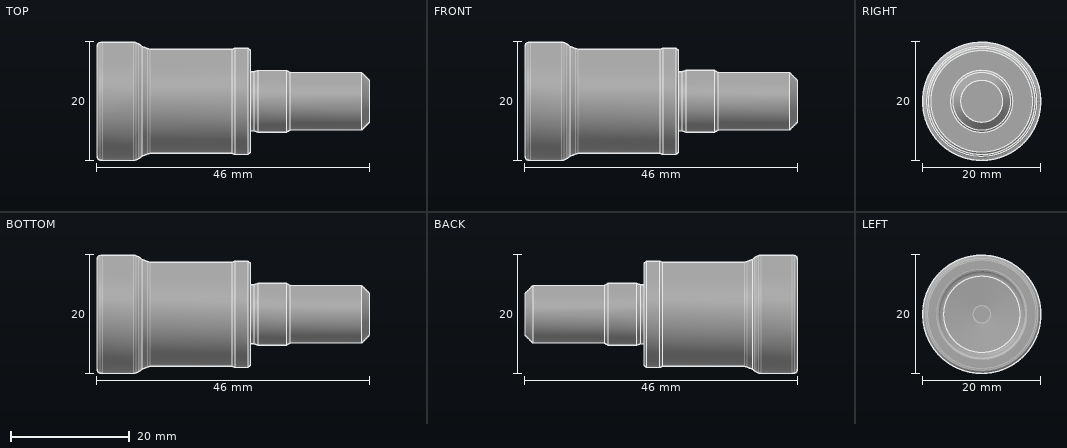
import cadquery as cq
import math

TOTAL_LENGTH = 46.0

CAP_RADIUS = 20.0 / 2
CAP_FACE_RADIUS = 9.15
CAP_SIDE_START = 0.95
CAP_EDGE_TAPER = 0.1
CAP_EDGE_BLEND = 0.45
CAP_BACK_CORNER = 6.4
CAP_BACK_BLEND = 0.25
CAP_LIP_START = 7.18
CAP_LIP_RADIUS = 9.65
CAP_LIP_BLEND = 0.15
CAP_BACK_RADIUS = 18.6 / 2
CAP_LENGTH = 7.6
CAP_MOUTH_RADIUS = 7.5
CAP_MOUTH_BLEND = 0.1
NOSE_RADIUS = 6.45
MOUTH_FLOOR_BLEND = 0.55
MOUTH_DEPTH = 0.55

DISH_RADIUS = 1.45
DISH_DEPTH = 0.45
BARREL_RADIUS = 17.6 / 2
NECK_CONE_END = 8.55
NECK_CONE_END_RADIUS = 8.92
BARREL_START = 8.95
COLLAR_RADIUS = 18.0 / 2
COLLAR_RAMP_START = 22.8
COLLAR_START = 23.28
COLLAR_END = 25.95
COLLAR_CHAMFER = 0.4
STUD_RADIUS = 9.75 / 2
STUD_BAND_RADIUS = 10.5 / 2
STUD_ROOT_RADIUS = 5.0
BAND_RAMP_START = 26.5
BAND_START = 27.2
BAND_END = 31.95
BAND_RAMP_END = 32.6
STUD_CHAMFER = 1.35


def revolve_about_x(profile):
    """Turn a closed half profile (X, radius) about the X axis."""
    return profile.close().revolve(360, (0, 0, 0), (1, 0, 0))


def rounded_corner(before, corner, after, tangent):
    """Start, middle and end of a round whose ends lie one tangent length from the corner."""
    corner_point = cq.Vector(*corner)
    back_way = (cq.Vector(*before) - corner_point).normalized()
    forward_way = (cq.Vector(*after) - corner_point).normalized()
    half_angle = back_way.getAngle(forward_way) / 2
    gap = tangent * (1 - math.sin(half_angle)) / math.cos(half_angle)
    start = corner_point + back_way * tangent
    middle = corner_point + (back_way + forward_way).normalized() * gap
    end = corner_point + forward_way * tangent
    return [(point.x, point.y) for point in (start, middle, end)]


def make_cap():
    nose_rim = (MOUTH_DEPTH, NOSE_RADIUS)
    mouth_floor = (MOUTH_DEPTH, NOSE_RADIUS + MOUTH_FLOOR_BLEND)
    mouth_rim = (0, CAP_MOUTH_RADIUS)
    face_edge = (0, CAP_FACE_RADIUS)
    front_edge = (CAP_EDGE_TAPER, CAP_RADIUS - CAP_EDGE_TAPER)
    side_start = (CAP_SIDE_START, CAP_RADIUS)
    back_corner = (CAP_BACK_CORNER, CAP_RADIUS)
    lip_corner = (CAP_LIP_START, CAP_LIP_RADIUS)
    back_end = (CAP_LENGTH, CAP_BACK_RADIUS)

    floor_round = rounded_corner(nose_rim, mouth_floor, mouth_rim, MOUTH_FLOOR_BLEND)
    rim_round = rounded_corner(mouth_floor, mouth_rim, face_edge, CAP_MOUTH_BLEND)
    edge_round = rounded_corner(face_edge, front_edge, side_start, CAP_EDGE_BLEND)
    back_round = rounded_corner(side_start, back_corner, lip_corner, CAP_BACK_BLEND)
    lip_round = rounded_corner(back_corner, lip_corner, back_end, CAP_LIP_BLEND)

    profile = (
        cq.Workplane("XY")
        .moveTo(*floor_round[0])
        .threePointArc(*floor_round[1:])
        .lineTo(*rim_round[0])
        .threePointArc(*rim_round[1:])
        .lineTo(*face_edge)
        .lineTo(*edge_round[0])
        .threePointArc(*edge_round[1:])
        .lineTo(*side_start)
        .lineTo(*back_round[0])
        .threePointArc(*back_round[1:])
        .lineTo(*lip_round[0])
        .threePointArc(*lip_round[1:])
        .lineTo(*back_end)
        .lineTo(CAP_LENGTH, NOSE_RADIUS)
    )
    return revolve_about_x(profile)


def make_core():
    profile = (
        cq.Workplane("XY")
        .moveTo(MOUTH_DEPTH + DISH_DEPTH, 0)
        .lineTo(MOUTH_DEPTH + DISH_DEPTH, DISH_RADIUS)
        .lineTo(MOUTH_DEPTH, NOSE_RADIUS)
        .lineTo(CAP_LENGTH, NOSE_RADIUS)
        .lineTo(CAP_LENGTH, CAP_BACK_RADIUS)
        .lineTo(NECK_CONE_END, NECK_CONE_END_RADIUS)
        .lineTo(BARREL_START, BARREL_RADIUS)
        .lineTo(COLLAR_RAMP_START, BARREL_RADIUS)
        .lineTo(COLLAR_START, COLLAR_RADIUS)
        .lineTo(COLLAR_END - COLLAR_CHAMFER, COLLAR_RADIUS)
        .lineTo(COLLAR_END, COLLAR_RADIUS - COLLAR_CHAMFER)
        .lineTo(COLLAR_END, STUD_ROOT_RADIUS)
        .lineTo(BAND_RAMP_START, STUD_ROOT_RADIUS)
        .lineTo(BAND_START, STUD_BAND_RADIUS)
        .lineTo(BAND_END, STUD_BAND_RADIUS)
        .lineTo(BAND_RAMP_END, STUD_RADIUS)
        .lineTo(TOTAL_LENGTH - STUD_CHAMFER, STUD_RADIUS)
        .lineTo(TOTAL_LENGTH, STUD_RADIUS - STUD_CHAMFER)
        .lineTo(TOTAL_LENGTH, 0)
    )
    return revolve_about_x(profile)


cap = make_cap()
core = make_core()

result = cq.Compound.makeCompound([cap.val(), core.val()])